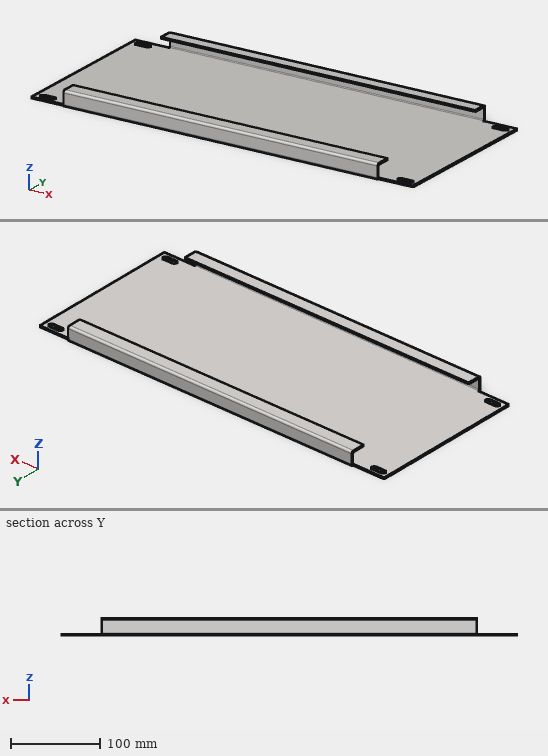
import cadquery as cq

plate_length = 510.0
plate_width = 213.0
thickness = 2.0

fold_length = 420.0
folded_width = 220.0
folded_height = 20.0
lip_width = 20.0
bend_outer_radius = 3.0
bend_inner_radius = bend_outer_radius - thickness

slot_length = 20.0
slot_width = 7.0
slot_center_to_end = 16.0
slot_center_to_side = 9.0
slot_spacing_x = plate_length - 2 * slot_center_to_end
slot_spacing_y = plate_width - 2 * slot_center_to_side


def block(length, width, height, bottom=0.0):
    """Box centered in X and Y, standing on Z = bottom."""
    return (
        cq.Workplane("XY")
        .workplane(offset=bottom)
        .box(length, width, height, centered=(True, True, False))
    )


def flat_plate():
    """Full-length base plate."""
    return block(plate_length, plate_width, thickness)


def folded_sides():
    """C-shaped section across Y, with rounded bends, running along X."""
    outer = block(fold_length, folded_width, folded_height)
    outer = outer.edges("|X").fillet(bend_outer_radius)

    inner_width = folded_width - 2 * thickness
    inner_height = folded_height - 2 * thickness
    inner = block(fold_length, inner_width, inner_height, bottom=thickness)
    inner = inner.edges("|X").fillet(bend_inner_radius)

    lip_gap = folded_width - 2 * lip_width
    opening = block(fold_length, lip_gap, folded_height, bottom=folded_height / 2)
    return outer.cut(inner).cut(opening)


def mounting_slots():
    """Cutters for the four round-ended slots through the plate."""
    return (
        cq.Workplane("XY")
        .rarray(slot_spacing_x, slot_spacing_y, 2, 2)
        .slot2D(slot_length, slot_width)
        .extrude(thickness)
    )


result = flat_plate().union(folded_sides()).cut(mounting_slots())